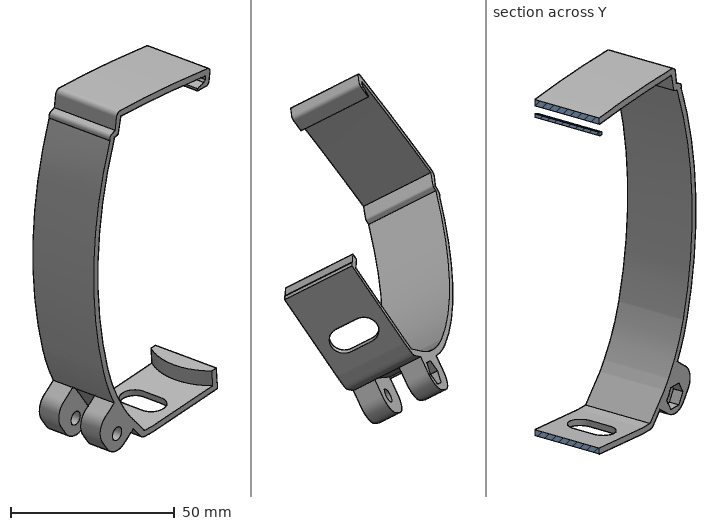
import cadquery as cq
import math

width = 24.0
height = 116.7
depth = 59.9
thickness = 2.1

bow_radius = 126.1
bow_height = 64.4
bow_top = 108.3
bend_start_angle = 16
bend_radius = 60.7
foot_angle = 38
bow_center = (bow_radius, bow_height)

foot_tilt = 4.5
foot_back = 28.6
lip_height = 7.4
lip_end_thickness = 2.2
lip_middle_thickness = 6.0
window_length = 16.2
window_width = 9.0
window_from_lip = 21.2

bolt_y = 11.3
bolt_z = 6.3
bolt_diameter = 4.4
lug_angle = 36
lug_radius = 5.8
lug_above_bolt = 9.8
lug_root_reach = 7.0
lug_gap = 8.6
gap_floor_reach = 6.0
nut_across_flats = 7.4
nut_depth = 3.5


def polar(center, radius, angle):
    """Point on an arc, with the angle in degrees measured below the -Y direction."""
    turn = math.radians(angle)
    return (center[0] - radius * math.cos(turn), center[1] - radius * math.sin(turn))


bend_center = polar(bow_center, bow_radius - bend_radius, bend_start_angle)
bow_top_angle = -math.degrees(math.asin((bow_top - bow_height) / bow_radius))
foot_rise = math.tan(math.radians(foot_tilt))


def back_points(inset):
    """Top, middle and end of the bow, then middle and end of the bend."""
    bow = bow_radius - inset
    bend = bend_radius - inset
    return (
        polar(bow_center, bow, bow_top_angle),
        polar(bow_center, bow, (bow_top_angle + bend_start_angle) / 2),
        polar(bow_center, bow, bend_start_angle),
        polar(bend_center, bend, (bend_start_angle + foot_angle) / 2),
        polar(bend_center, bend, foot_angle),
    )


def strap():
    """Constant section from the top hook, down the back, to the end of the foot."""
    out_top, out_mid, out_end, out_bend, out_foot = back_points(0)
    in_top, in_mid, in_end, in_bend, in_foot = back_points(thickness)
    foot_end_z = (depth - foot_back) * foot_rise
    inner_corner = (foot_back, thickness)
    inner_end_z = thickness + (depth - inner_corner[0]) * foot_rise
    profile = (
        cq.Workplane("YZ")
        .moveTo(foot_back, 0)
        .lineTo(24.9, 0)
        .threePointArc((23.8, 0.18), (22.8, 0.8))
        .lineTo(*out_foot)
        .threePointArc(out_bend, out_end)
        .threePointArc(out_mid, out_top)
        .threePointArc((7.9, 109.5), (8.6, 110.2))
        .lineTo(10.4, 110.9)
        .lineTo(11.0, 115.0)
        .threePointArc((11.7, 116.3), (13.1, height))
        .threePointArc((31.9, 116.2), (50.5, 114.8))
        .lineTo(54.6, 114.4)
        .threePointArc((55.9, 113.9), (56.3, 112.8))
        .lineTo(55.8, 110.0)
        .threePointArc((55.5, 109.0), (54.5, 108.6))
        .lineTo(50.2, 108.6)
        .lineTo(50.2, 109.4)
        .lineTo(53.2, 110.3)
        .lineTo(53.9, 111.0)
        .lineTo(53.9, 112.2)
        .lineTo(50.4, 112.5)
        .threePointArc((31.9, 113.9), (13.2, height - thickness))
        .lineTo(12.0, 109.5)
        .threePointArc((11.8, 109.0), (11.3, 108.8))
        .lineTo(10.2, 108.6)
        .lineTo(*in_top)
        .threePointArc(in_mid, in_end)
        .threePointArc(in_bend, in_foot)
        .lineTo(24.6, thickness)
        .lineTo(*inner_corner)
        .lineTo(depth, inner_end_z)
        .lineTo(depth, foot_end_z)
        .close()
    )
    return profile.extrude(width / 2, both=True)


def foot_plane():
    """Plane along the underside of the tilted foot, at its front edge."""
    tilt = math.radians(foot_tilt)
    front_z = (depth - foot_back) * foot_rise
    return cq.Plane(
        origin=(0, depth, front_z), xDir=(1, 0, 0), normal=(0, -math.sin(tilt), math.cos(tilt))
    )


def lip():
    """Upright lip with a flat front and an arched rear face."""
    return (
        cq.Workplane(foot_plane())
        .moveTo(-width / 2, 0)
        .lineTo(-width / 2, -lip_end_thickness)
        .threePointArc((0, -lip_middle_thickness), (width / 2, -lip_end_thickness))
        .lineTo(width / 2, 0)
        .close()
        .extrude(lip_height)
    )


def window():
    return (
        cq.Workplane(foot_plane())
        .center(0, -window_from_lip)
        .slot2D(window_length, window_width)
        .extrude(2 * thickness, both=True)
    )


def lug_block(block_width, root_reach):
    """Block across the strap, reaching from the rounded lug end in to the given root."""
    size = (root_reach + lug_radius, lug_above_bolt + lug_radius)
    return cq.Workplane("XY").box(block_width, *size, centered=(True, False, False))


def place_at_bolt(body):
    """Tilt a lug-sized block to the lug angle and set it around the bolt axis."""
    return (
        body.translate((0, -lug_radius, -lug_radius))
        .rotate((0, 0, 0), (1, 0, 0), lug_angle)
        .translate((0, bolt_y, bolt_z))
    )


def lugs():
    """Full-width block with a rounded free end."""
    block = lug_block(width, lug_root_reach)
    return place_at_bolt(block.faces("<Y").edges("|X").fillet(lug_radius))


def lug_gap_cut():
    """Central gap with a flat floor that splits the block into two lugs."""
    return place_at_bolt(lug_block(lug_gap, gap_floor_reach))


def bolt_cut():
    """Through hole for the bolt, with the nut pocket open at the -X side."""
    side = cq.Workplane("YZ", origin=(-width / 2, bolt_y, bolt_z))
    hole = side.circle(bolt_diameter / 2).extrude(width)
    nut_across_corners = nut_across_flats / math.cos(math.pi / 6)
    return hole.union(side.polygon(6, nut_across_corners).extrude(nut_depth))


result = strap().union(lip()).union(lugs())
result = result.cut(lug_gap_cut()).cut(window()).cut(bolt_cut())